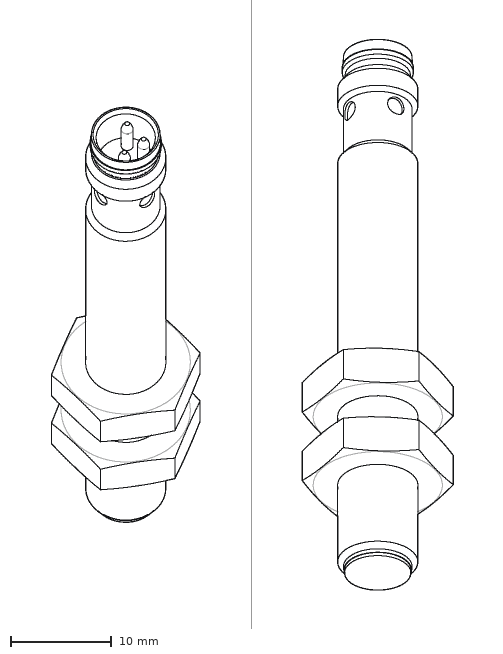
import cadquery as cq
import math

total_height = 60.0
barrel_diameter = 8.0
barrel_radius = barrel_diameter / 2

cap_radius = 3.3
cap_height = 0.35

nose_end_radius = 3.35
nose_top_radius = 3.4
nose_top_z = 0.7
barrel_bottom_z = 1.25
neck_radius = 3.4
barrel_top_z = 47.65
neck_bottom_z = 48.3
neck_top_z = 53.95
collar_bottom_z = 54.3
collar_top_z = 56.3
housing_top_z = 57.05
housing_top_radius = 3.4

window_radius = 0.95
window_z = 52.6
window_count = 4

plug_radius = 3.1
plug_bottom_z = 51.0
groove_radius = 3.25
groove_top_z = 57.9
lip_bottom_z = 58.2
lip_top_z = 58.8
lip_radius = 3.55
sleeve_base_diameter = 6.9
sleeve_base_radius = sleeve_base_diameter / 2
sleeve_rim_radius = 3.4
rim_width = 0.2
socket_radius = 2.95
socket_floor_radius = 2.75
socket_chamfer_height = 0.5
socket_floor_z = 55.8

pin_radius = 0.6
pin_flat_radius = 0.25
pin_tip_middle_radius = 0.5
pin_tip_height = 0.9
pin_top_z = 59.45
pin_embedded_depth = 1.8
pin_bottom_z = socket_floor_z - pin_embedded_depth
pin_offset = 1.25
pin_places = [(-pin_offset, pin_offset), (pin_offset, pin_offset), (pin_offset, -pin_offset)]

nut_across_flats = 13.0
nut_corner_radius = nut_across_flats / 2 / math.cos(math.pi / 6)
nut_height = 4.0
nut_face_radius = 6.4
nut_corner_drop = 0.3
nut_bottom_places = [10.2, 18.2]


def revolve_profile(points):
    """Turn a closed (radius, z) outline around the Z axis."""
    return cq.Workplane("XZ").polyline(points).close().revolve(360, (0, 0, 0), (0, 1, 0))


def make_cap():
    return cq.Workplane("XY").circle(cap_radius).extrude(cap_height)


def make_housing():
    body = revolve_profile([
        (0, cap_height),
        (nose_end_radius, cap_height),
        (nose_top_radius, nose_top_z),
        (barrel_radius, barrel_bottom_z),
        (barrel_radius, barrel_top_z),
        (neck_radius, neck_bottom_z),
        (neck_radius, neck_top_z),
        (barrel_radius, collar_bottom_z),
        (barrel_radius, collar_top_z),
        (housing_top_radius, housing_top_z),
        (plug_radius, housing_top_z),
        (plug_radius, plug_bottom_z),
        (0, plug_bottom_z),
    ])
    for index in range(window_count):
        window = (
            cq.Workplane("YZ")
            .center(0, window_z)
            .circle(window_radius)
            .extrude(barrel_radius)
            .rotate((0, 0, 0), (0, 0, 1), index * 360 / window_count)
        )
        body = body.cut(window)
    return body


def make_pin(x, y):
    tip_base_z = pin_top_z - pin_tip_height
    tip_middle = (pin_tip_middle_radius, pin_top_z - pin_tip_height / 2)
    return (
        cq.Workplane("XZ")
        .moveTo(0, pin_bottom_z)
        .lineTo(pin_radius, pin_bottom_z)
        .lineTo(pin_radius, tip_base_z)
        .threePointArc(tip_middle, (pin_flat_radius, pin_top_z))
        .lineTo(0, pin_top_z)
        .close()
        .revolve(360, (0, 0, 0), (0, 1, 0))
        .translate((x, y, 0))
    )


def make_insert():
    body = revolve_profile([
        (0, plug_bottom_z),
        (plug_radius, plug_bottom_z),
        (plug_radius, housing_top_z),
        (groove_radius, housing_top_z),
        (groove_radius, groove_top_z),
        (lip_radius, lip_bottom_z),
        (lip_radius, lip_top_z),
        (sleeve_base_radius, lip_top_z),
        (sleeve_rim_radius, total_height),
        (sleeve_rim_radius - rim_width, total_height),
        (socket_radius, total_height - socket_chamfer_height),
        (socket_floor_radius, socket_floor_z),
        (0, socket_floor_z),
    ])
    pin_holes = (
        cq.Workplane("XY", origin=(0, 0, pin_bottom_z))
        .pushPoints(pin_places)
        .circle(pin_radius)
        .extrude(total_height - pin_bottom_z)
    )
    return body.cut(pin_holes)


def make_nut(bottom_z):
    hexagon = cq.Workplane("XY").polygon(6, 2 * nut_corner_radius).extrude(nut_height)
    envelope = revolve_profile([
        (barrel_radius, 0),
        (nut_face_radius, 0),
        (nut_corner_radius, nut_corner_drop),
        (nut_corner_radius, nut_height - nut_corner_drop),
        (nut_face_radius, nut_height),
        (barrel_radius, nut_height),
    ])
    return hexagon.intersect(envelope).translate((0, 0, bottom_z))


cap = make_cap()
housing = make_housing()
insert = make_insert()
pins = [make_pin(x, y) for x, y in pin_places]
nuts = [make_nut(z) for z in nut_bottom_places]

result = cq.Compound.makeCompound([
    cap.val(),
    housing.val(),
    insert.val(),
    *[pin.val() for pin in pins],
    *[nut.val() for nut in nuts],
])